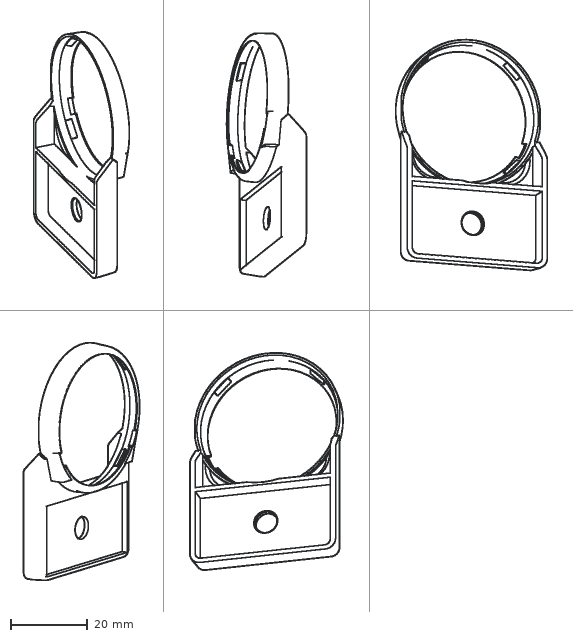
import cadquery as cq
import math

TOTAL_HEIGHT = 60.6
TOTAL_DEPTH = 10.05

RING_RADIUS = 19.7
RING_REAR_RADIUS = 19.45
RING_AXIS_Z = TOTAL_HEIGHT - RING_RADIUS
RING_FRONT_Y = 4.85
RING_ROUNDING = 1.35
RING_HALF_WIDTH = 19.5
RIM_RADIUS = 19.0
WALL_REAR_RADIUS = 18.55
WALL_REAR_Y = 6.9
LIP_RADIUS = 17.4
LIP_EDGE = 0.3
LIP_GAP_RADIUS = 18.3
LIP_GAP_INNER = 16.2
LIP_GAP_ANGLES = (19.5, 33.2)

CHEEK_ANGLE = 17.0
CHEEK_BOTTOM = 26.95
CHEEK_FRONT_Y = 6.05
CHEEK_THICKNESS = 4.85

TAB_ANGLES = (45, 135, 225, 315)
TAB_LENGTH = 5.2
TAB_LOW_RADIUS = 18.3
TAB_HIGH_RADIUS = 17.65
TAB_WIDTH = 1.6

BLOCK_WIDTH = 39.3
BLOCK_DEPTH = 6.4
BLOCK_TOP = 34.65
BLOCK_CORNER = 2.7
BLOCK_STRAIGHT = 1.5
BLOCK_DRAFT = 5.0
REAR_EDGE_FILLET = 0.85
SHOULDER_FRONT_Z = 29.5
SHOULDER_FILLET = 1.8

WALL = 1.45
BOTTOM_WALL = 1.2
RIB_BOTTOM = 20.55
RIB_TOP = 21.75
POCKET_CORNER = 1.5
LOWER_FLOOR_Y = 3.3
LOWER_INSET = 0.55
UPPER_FLOOR_Y = 4.95
UPPER_SIDE_INSET = 0.8
UPPER_RIB_INSET = 0.35
PLATE = BLOCK_DEPTH - UPPER_FLOOR_Y
RECESS_BORDER = 1.6

HOLE_Z = 11.2
HOLE_RADIUS = 2.95
HOLE_CHAMFER = 0.25

RELIEF_ANGLE = 50.0
RELIEF_RADIUS = 7.15
RELIEF_FLOOR_RADIUS = 6.2
RELIEF_CENTER = 14.9
RELIEF_DEPTH = 0.85
RELIEF_RIB_GAP = 0.35

CLEARANCE_FRONT_RADIUS = 19.65


def front_plane(y):
    """Workplane at depth y that extrudes towards +Y; its sketch axes are -X and +Z."""
    return cq.Workplane(cq.Plane((0, y, 0), (-1, 0, 0), (0, 1, 0)))


def box(x0, x1, y0, y1, z0, z1):
    return cq.Workplane("XY").box(x1 - x0, y1 - y0, z1 - z0, centered=False).translate((x0, y0, z0))


def turned(profile):
    """Turn a closed (radius, y) profile about the ring axis."""
    return profile.close().revolve(360, (0, 0, 0), (0, 1, 0)).translate((0, 0, RING_AXIS_Z))


def turned_cone(front_radius, rear_radius, y0, y1):
    return turned(cq.Workplane("XY").polyline([(0, y0), (front_radius, y0), (rear_radius, y1), (0, y1)]))


def at_ring_angle(solid, angle):
    """Turn a solid lying on the +X side of the ring axis downwards by angle."""
    return solid.rotate((0, 0, 0), (0, 1, 0), angle).translate((0, 0, RING_AXIS_Z))


def make_ring():
    quarter = math.sqrt(0.5)
    round_r = RING_REAR_RADIUS - RING_ROUNDING
    round_y = TOTAL_DEPTH - RING_ROUNDING
    cove_y = TOTAL_DEPTH - LIP_EDGE
    cove_mid = (
        LIP_RADIUS + quarter * (WALL_REAR_RADIUS - LIP_RADIUS),
        WALL_REAR_Y + quarter * (cove_y - WALL_REAR_Y),
    )
    profile = (
        cq.Workplane("XY")
        .moveTo(RIM_RADIUS, RING_FRONT_Y)
        .lineTo(RING_RADIUS, RING_FRONT_Y)
        .lineTo(RING_REAR_RADIUS, round_y)
        .threePointArc(
            (round_r + quarter * RING_ROUNDING, round_y + quarter * RING_ROUNDING),
            (round_r, TOTAL_DEPTH),
        )
        .lineTo(LIP_RADIUS, TOTAL_DEPTH)
        .lineTo(LIP_RADIUS, cove_y)
        .threePointArc(cove_mid, (WALL_REAR_RADIUS, WALL_REAR_Y))
    )
    ring = turned(profile)
    flats = box(-RING_HALF_WIDTH, RING_HALF_WIDTH, 0, TOTAL_DEPTH, 0, TOTAL_HEIGHT)
    return ring.intersect(flats)


def make_lip_gap(side):
    """Wedge-shaped cutter that removes the lip over a short arc on one side."""
    start, end = (math.radians(a) for a in LIP_GAP_ANGLES)
    middle = (start + end) / 2

    def point(radius, angle):
        return (side * radius * math.cos(angle), -radius * math.sin(angle))

    return (
        front_plane(RING_FRONT_Y)
        .moveTo(*point(LIP_GAP_INNER, start))
        .lineTo(*point(LIP_GAP_RADIUS, start))
        .threePointArc(point(LIP_GAP_RADIUS, middle), point(LIP_GAP_RADIUS, end))
        .lineTo(*point(LIP_GAP_INNER, end))
        .close()
        .extrude(TOTAL_DEPTH - RING_FRONT_Y)
        .translate((0, 0, RING_AXIS_Z))
    )


def make_tab(angle):
    rear_y = WALL_REAR_Y + TAB_WIDTH
    tab = (
        cq.Workplane("XY")
        .polyline([
            (RIM_RADIUS, WALL_REAR_Y),
            (TAB_LOW_RADIUS, WALL_REAR_Y),
            (TAB_HIGH_RADIUS, rear_y),
            (RIM_RADIUS, rear_y),
        ])
        .close()
        .extrude(TAB_LENGTH / 2, both=True)
    )
    return at_ring_angle(tab, angle)


def make_cheek(side):
    """Filler tangent to the ring, with its outer rear edge rounded like the ring."""
    angle = math.radians(CHEEK_ANGLE)
    start_x = RING_REAR_RADIUS * math.cos(angle)
    start_z = RING_AXIS_Z - RING_REAR_RADIUS * math.sin(angle)
    bottom_x = start_x - (start_z - CHEEK_BOTTOM) * math.tan(angle)
    inner_x = bottom_x - CHEEK_THICKNESS
    cheek = (
        front_plane(CHEEK_FRONT_Y)
        .polyline([
            (-start_x, start_z),
            (-bottom_x, CHEEK_BOTTOM),
            (-inner_x, CHEEK_BOTTOM),
            (-inner_x, start_z),
        ])
        .close()
        .extrude(TOTAL_DEPTH - CHEEK_FRONT_Y)
        .faces(">Y")
        .edges(">X")
        .fillet(RING_ROUNDING)
    )
    cheek = cheek.cut(turned_cone(RIM_RADIUS, LIP_GAP_RADIUS, RING_FRONT_Y, TOTAL_DEPTH))
    return cheek if side > 0 else cheek.mirror("YZ")


def make_block():
    block = (
        front_plane(0)
        .center(0, TOTAL_HEIGHT / 2)
        .rect(BLOCK_WIDTH, TOTAL_HEIGHT)
        .extrude(BLOCK_STRAIGHT)
        .edges("|Y and <Z")
        .fillet(BLOCK_CORNER)
        .faces(">Y")
        .wires()
        .toPending()
        .extrude(BLOCK_DEPTH - BLOCK_STRAIGHT, taper=BLOCK_DRAFT)
        .faces(">Y")
        .edges()
        .fillet(REAR_EDGE_FILLET)
    )
    side_outline = (
        cq.Workplane("YZ")
        .polyline([
            (0, 0),
            (BLOCK_DEPTH, 0),
            (BLOCK_DEPTH, BLOCK_TOP - PLATE),
            (RING_FRONT_Y, BLOCK_TOP),
            (0, SHOULDER_FRONT_Z),
        ])
        .close()
        .extrude(BLOCK_WIDTH / 2, both=True)
        .edges(cq.selectors.NearestToPointSelector((0, 0, SHOULDER_FRONT_Z)))
        .fillet(SHOULDER_FILLET)
    )
    return block.intersect(side_outline)


def make_pocket(z0, z1, depth, side_inset, end_inset):
    """Cutter open to the front whose drafted walls close in by the insets at the floor."""
    width = BLOCK_WIDTH - 2 * WALL
    height = z1 - z0
    return (
        front_plane(0)
        .center(0, (z0 + z1) / 2)
        .rect(width, height)
        .workplane(offset=depth)
        .rect(width - 2 * side_inset, height - 2 * end_inset)
        .loft()
    )


def make_label_recess():
    """Recess behind the lower pocket that keeps the plate at one thickness."""
    floor_y = LOWER_FLOOR_Y + PLATE
    return (
        front_plane(floor_y)
        .center(0, (RIB_BOTTOM + RECESS_BORDER) / 2)
        .rect(BLOCK_WIDTH - 2 * RECESS_BORDER, RIB_BOTTOM - RECESS_BORDER)
        .extrude(BLOCK_DEPTH - floor_y)
    )


def make_hole():
    profile = [
        (0, LOWER_FLOOR_Y),
        (HOLE_RADIUS + HOLE_CHAMFER, LOWER_FLOOR_Y),
        (HOLE_RADIUS, LOWER_FLOOR_Y + HOLE_CHAMFER),
        (HOLE_RADIUS, BLOCK_DEPTH),
        (0, BLOCK_DEPTH),
    ]
    hole = cq.Workplane("XY").polyline(profile).close().revolve(360, (0, 0, 0), (0, 1, 0))
    return hole.translate((0, 0, HOLE_Z))


def make_relief(angle):
    """Cone frustum cutter; the ring, added later, refills part of it."""
    frustum = cq.Workplane("XY").polyline([
        (0, UPPER_FLOOR_Y),
        (RELIEF_RADIUS, UPPER_FLOOR_Y),
        (RELIEF_FLOOR_RADIUS, UPPER_FLOOR_Y + RELIEF_DEPTH),
        (0, UPPER_FLOOR_Y + RELIEF_DEPTH),
    ])
    frustum = frustum.close().revolve(360, (0, 0, 0), (0, 1, 0)).translate((RELIEF_CENTER, 0, 0))
    above_rib = box(-BLOCK_WIDTH, BLOCK_WIDTH, 0, BLOCK_DEPTH, RIB_TOP + RELIEF_RIB_GAP, TOTAL_HEIGHT)
    return at_ring_angle(frustum, angle).intersect(above_rib)


lower_pocket = make_pocket(BOTTOM_WALL, RIB_BOTTOM, LOWER_FLOOR_Y, LOWER_INSET, LOWER_INSET)
lower_pocket = lower_pocket.edges("not (<Y or >Y)").edges("<Z").fillet(POCKET_CORNER)
block = (
    make_block()
    .cut(lower_pocket)
    .cut(make_pocket(RIB_TOP, TOTAL_HEIGHT, UPPER_FLOOR_Y, UPPER_SIDE_INSET, UPPER_RIB_INSET))
    .cut(make_label_recess())
    .cut(make_hole())
)
for angle in (RELIEF_ANGLE, 180 - RELIEF_ANGLE):
    block = block.cut(make_relief(angle))

clearance = turned_cone(CLEARANCE_FRONT_RADIUS, RIM_RADIUS, 0, RING_FRONT_Y)
bore = turned_cone(RIM_RADIUS, WALL_REAR_RADIUS, RING_FRONT_Y, WALL_REAR_Y)
block = block.cut(clearance).cut(bore)

result = block.union(make_ring())
for side in (-1, 1):
    result = result.union(make_cheek(side))
for angle in TAB_ANGLES:
    result = result.union(make_tab(angle))
for side in (-1, 1):
    result = result.cut(make_lip_gap(side))